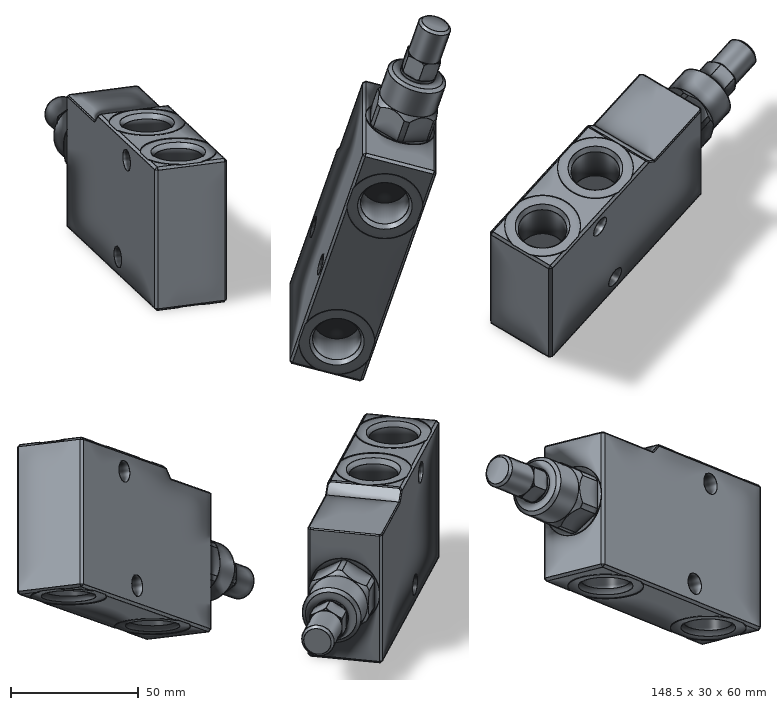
import cadquery as cq
import math

total_length = 148.5
body_width = 30.0
body_height = 60.0
body_start = 47.8
edge_chamfer = 1.0

step_foot_x = 79.5
step_drop = 4.3
step_chamfer = 0.5

port_diameter = 19.0
port_mouth_widening = 1.2
port_mouth_depth = 2.1
port_depth = 17.8
port_seat_diameter = 29.7
port_seat_depth = 0.3
right_port_x = 133.5
top_side = 1
bottom_side = -1
ports = [
    (98.5, top_side),
    (right_port_x, top_side),
    (68.5, bottom_side),
    (right_port_x, bottom_side),
]

mounting_diameter = 8.5
mounting_centers = [(115.8, 22.0), (105.9, -22.0)]

stem_diameter = 13.0
stem_chamfer = 1.0
small_hex_start = 14.7
small_hex_end = 22.9
washer_diameter = 14.0
collar_start = 24.0
collar_diameter = 23.6
collar_chamfer_length = 1.5
collar_chamfer_height = 1.0
nut_start = 36.4
nut_across_flats = 24.0
nut_corner_diameter = 26.6
nut_cone_length = 2.2
nut_seat_diameter = 28.0
nut_seat_depth = 0.3

half_width = body_width / 2
half_height = body_height / 2


def rod(start_x, end_x, diameter):
    """Cylinder on the cartridge axis."""
    return cq.Workplane("YZ", origin=(start_x, 0, 0)).circle(diameter / 2).extrude(end_x - start_x)


def across_corners(across_flats):
    """Corner-to-corner size of a regular hexagon."""
    return across_flats / math.cos(math.pi / 6)


def hex_bar(start_x, end_x, across_flats):
    """Hexagonal bar on the cartridge axis, with corners pointing up and down."""
    return (
        cq.Workplane("YZ", origin=(start_x, 0, 0))
        .transformed(rotate=(0, 0, 90))
        .polygon(6, across_corners(across_flats))
        .extrude(end_x - start_x)
    )


def turned(profile):
    """Solid of revolution about the X axis from (x, radius) points."""
    return cq.Workplane("XY").polyline(profile).close().revolve(360, (0, 0, 0), (1, 0, 0))


def make_body():
    """Block with chamfered edges and a lowered top towards the cartridge."""
    block = (
        cq.Workplane("XY")
        .box(total_length - body_start, body_width, body_height)
        .translate(((total_length + body_start) / 2, 0, 0))
        .edges()
        .chamfer(edge_chamfer)
    )
    step_z = half_height - step_drop
    relief = (
        cq.Workplane("XZ")
        .moveTo(body_start, step_z)
        .lineTo(step_foot_x, step_z)
        .lineTo(step_foot_x + step_drop, half_height)
        .lineTo(body_start, half_height)
        .close()
        .extrude(half_width, both=True)
    )
    stepped = block.cut(relief)
    foot = cq.selectors.NearestToPointSelector((step_foot_x, 0, step_z))
    step_face = cq.selectors.NearestToPointSelector(((body_start + step_foot_x) / 2, 0, step_z))
    slope_face = cq.selectors.NearestToPointSelector((step_foot_x + step_drop / 2, 0, step_z + step_drop / 2))
    return stepped.faces(step_face + slope_face).edges(-foot).chamfer(step_chamfer)


def port_cutter(x, side):
    """Port with a shallow seat and a tapered mouth."""
    seat_z = half_height - port_seat_depth
    port_radius = port_diameter / 2
    mouth_radius = port_radius + port_mouth_widening
    seat_radius = port_seat_diameter / 2
    profile = [
        (0, side * half_height),
        (seat_radius, side * half_height),
        (seat_radius, side * seat_z),
        (mouth_radius, side * seat_z),
        (port_radius, side * (seat_z - port_mouth_depth)),
        (port_radius, side * (seat_z - port_depth)),
        (0, side * (seat_z - port_depth)),
    ]
    cutter = cq.Workplane("XZ").polyline(profile).close().revolve(360, (0, 0, 0), (0, 1, 0))
    return cutter.translate((x, 0, 0))


def make_nut():
    """Hexagon nut with turned corners and a conical front."""
    nut_end = body_start + nut_seat_depth
    corner_radius = nut_corner_diameter / 2
    envelope = turned(
        [
            (nut_start, 0),
            (nut_start, collar_diameter / 2),
            (nut_start + nut_cone_length, corner_radius),
            (nut_end, corner_radius),
            (nut_end, 0),
        ]
    )
    return hex_bar(nut_start, nut_end, nut_across_flats).intersect(envelope)


def make_small_hex():
    """Hexagon across the stem diameter, its corners bevelled at both ends."""
    corner_diameter = across_corners(stem_diameter)
    bevel = (corner_diameter - washer_diameter) / 2
    envelope = rod(small_hex_start, small_hex_end, corner_diameter).faces("<X or >X").edges().chamfer(bevel)
    return hex_bar(small_hex_start, small_hex_end, stem_diameter).intersect(envelope)


def make_cartridge():
    """Stem, small hexagon, washer, collar and nut in one piece."""
    stem = rod(0, small_hex_start, stem_diameter).faces("<X").chamfer(stem_chamfer)
    washer = rod(small_hex_end, collar_start, washer_diameter)
    collar = (
        rod(collar_start, nut_start, collar_diameter)
        .faces("<X")
        .edges()
        .chamfer(collar_chamfer_height, collar_chamfer_length)
    )
    return stem.union(make_small_hex()).union(washer).union(collar).union(make_nut())


def make_mounting_holes():
    circles = cq.Workplane("XZ").pushPoints(mounting_centers).circle(mounting_diameter / 2)
    return circles.extrude(half_width, both=True)


def make_nut_seat():
    """Shallow round recess around the foot of the nut."""
    return rod(body_start, body_start + nut_seat_depth, nut_seat_diameter)


result = make_body()
for port_x, port_side in ports:
    result = result.cut(port_cutter(port_x, port_side))
result = result.cut(make_mounting_holes())
result = result.cut(make_nut_seat())
result = result.union(make_cartridge())